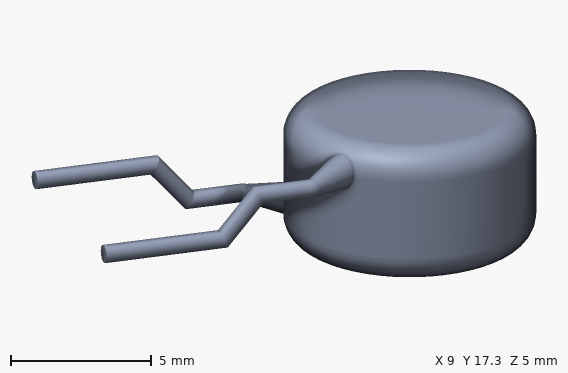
import cadquery as cq
import math

disc_diameter = 9.0
disc_thickness = 5.0
disc_edge_radius = 1.0

overall_length = 17.3
lead_radius = 0.33
lead_offset_x = 3.75
lead_end_y = disc_diameter / 2 - overall_length
lead_exit_height = disc_thickness / 2 - disc_edge_radius
kink_start_y = -7.0
kink_end_y = -8.32

root_angle = math.radians(37.0)
cone_start_distance = 3.8
cone_half_angle = math.radians(9.5)
bend_radius = 0.35
right_stub_length = 0.26

corner_y = -lead_offset_x / math.tan(root_angle)
corner_distance = lead_offset_x / math.sin(root_angle)
bend_tangent_length = bend_radius * math.tan(root_angle / 2)
cone_end_distance = corner_distance - bend_tangent_length
cone_length = cone_end_distance - cone_start_distance
cone_base_radius = lead_radius + cone_length * math.tan(cone_half_angle)
bend_end_y = corner_y - bend_tangent_length


def make_disc():
    return (
        cq.Workplane("XY")
        .workplane(offset=-disc_thickness / 2)
        .circle(disc_diameter / 2)
        .extrude(disc_thickness)
        .edges()
        .fillet(disc_edge_radius)
        .val()
    )


def make_lead_root(side, stub_length, disc_body):
    """Cone, bend and optional straight stub; side is -1 for the low lead at -X, 1 for the high one."""
    height = side * lead_exit_height
    axis_x = side * math.sin(root_angle)
    axis_y = -math.cos(root_angle)

    cone_plane = cq.Plane(
        origin=(0, 0, height), xDir=(axis_x, axis_y, 0), normal=(-axis_y, axis_x, 0)
    )
    cone = (
        cq.Workplane(cone_plane)
        .moveTo(cone_start_distance, 0)
        .lineTo(cone_start_distance, cone_base_radius)
        .lineTo(cone_end_distance, lead_radius)
        .lineTo(cone_end_distance, 0)
        .close()
        .revolve(360, (0, 0), (1, 0))
    )

    bend_plane = cq.Plane(
        origin=(side * lead_offset_x, bend_end_y, height), xDir=(1, 0, 0), normal=(0, 1, 0)
    )
    bend = (
        cq.Workplane(bend_plane)
        .circle(lead_radius)
        .revolve(math.degrees(root_angle), (-side * bend_radius, 0), (-side * bend_radius, -side))
    )
    root = cone.cut(cq.Workplane(disc_body)).union(bend)
    if stub_length > 0:
        root = root.union(cq.Workplane(bend_plane).circle(lead_radius).extrude(-stub_length))
    return root.solids().val()


def make_wire(side, stub_length):
    """Round wire that kinks from the root height to the mid-plane, then runs straight to its end."""
    x = side * lead_offset_x
    height = side * lead_exit_height
    start = (x, bend_end_y - stub_length, height)
    path = cq.Workplane(
        cq.Wire.makePolygon(
            [
                cq.Vector(*start),
                cq.Vector(x, kink_start_y, height),
                cq.Vector(x, kink_end_y, 0),
                cq.Vector(x, lead_end_y, 0),
            ]
        )
    )
    start_plane = cq.Plane(origin=start, xDir=(1, 0, 0), normal=(0, -1, 0))
    return cq.Workplane(start_plane).circle(lead_radius).sweep(path, transition="right").val()


disc = make_disc()
lead_roots = []
wires = []
for side, stub_length in ((-1, 0.0), (1, right_stub_length)):
    lead_roots.append(make_lead_root(side, stub_length, disc))
    wires.append(make_wire(side, stub_length))

result = cq.Compound.makeCompound([disc, *lead_roots, *wires])